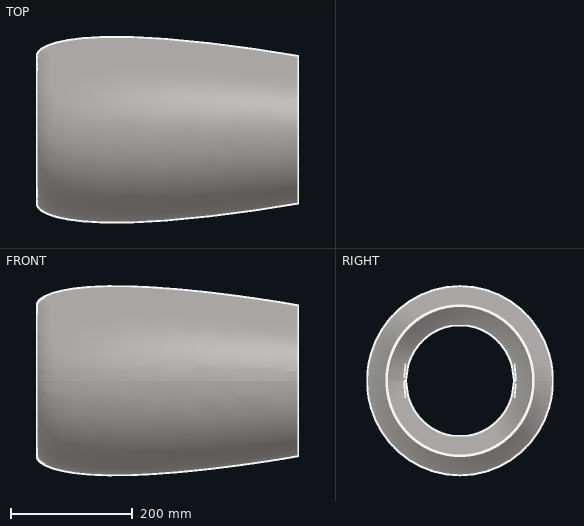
import cadquery as cq
import math

chord = 431.0
width = 306.5
height = 312.0
thickness_ratio = 0.15
front_share = 0.49
points_per_curve = 20

ROOT_TERM = 0.2969
POWER_TERMS = (-0.126, -0.3516, 0.2843, -0.1015)

max_half_thickness = thickness_ratio * chord / 2
ring_half_width = width / 2 - max_half_thickness
ring_half_height = height / 2 - max_half_thickness


def half_thickness(station):
    """Half thickness at a fraction of the chord measured from the lip."""
    law = ROOT_TERM * math.sqrt(station)
    law += sum(factor * station**power for power, factor in enumerate(POWER_TERMS, start=1))
    return 5 * thickness_ratio * chord * law


def skin_curve(start, end, side):
    """One skin between two chord stations; side is +1 inward and -1 outward at -Y."""

    def skin_point(t):
        root = math.sqrt(start) + t * (math.sqrt(end) - math.sqrt(start))
        station = root**2
        return cq.Vector(chord * station, -ring_half_width + side * half_thickness(station), 0)

    points = [skin_point(i / points_per_curve) for i in range(points_per_curve + 1)]
    return cq.Edge.makeSpline(points)


def airfoil_section():
    """Closed section at the -Y side of the ring, with a thin flat trailing edge."""
    edges = []
    for side in (-1, 1):
        edges.append(skin_curve(0.0, front_share, side))
        edges.append(skin_curve(front_share, 1.0, side))
    trailing_edge = cq.Edge.makeLine(edges[1].endPoint(), edges[3].endPoint())
    return cq.Wire.assembleEdges(edges + [trailing_edge])


def ring_half(start_angle):
    """Half of the ring; angles run from +Z towards -Y."""
    return cq.Edge.makeEllipse(
        ring_half_height,
        ring_half_width,
        pnt=cq.Vector(0, 0, 0),
        dir=cq.Vector(1, 0, 0),
        xdir=cq.Vector(0, 0, 1),
        angle1=start_angle,
        angle2=start_angle + 180,
    )


ring = cq.Wire.assembleEdges([ring_half(90), ring_half(270)])

result = cq.Workplane("XY").add(airfoil_section()).toPending().sweep(ring)